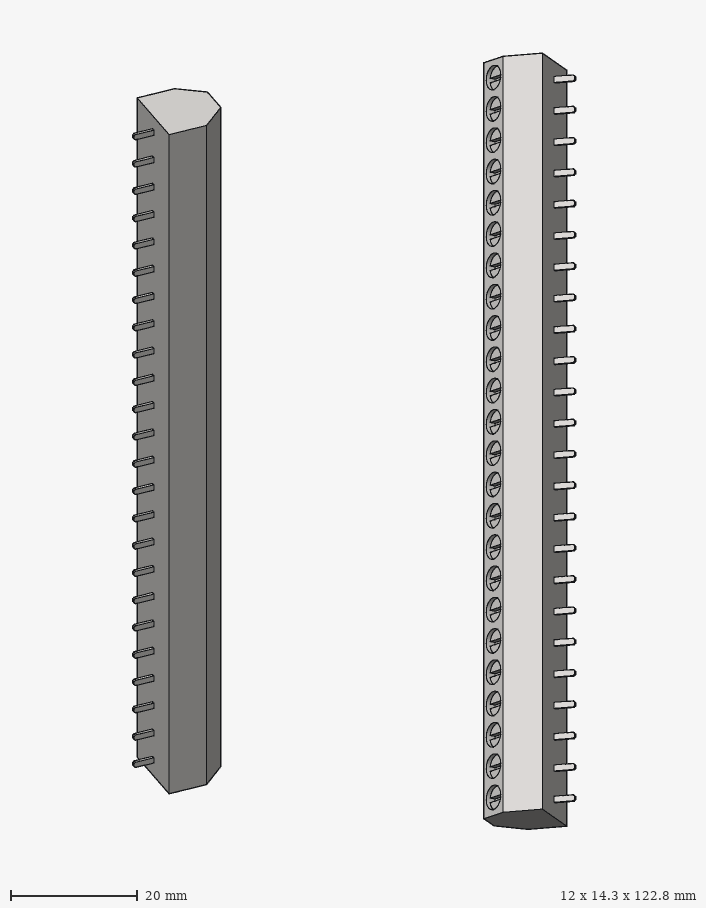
import cadquery as cq

length = 122.8
width = 12.0
body_depth = 10.8
slope_depth = 4.3
screw_slope_width = 3.1
wire_slope_width = 3.9

pole_count = 24
end_margin = 3.0
pitch = (length - 2 * end_margin) / (pole_count - 1)

pin_length = 3.5
pin_thickness = 0.5
pin_height = 1.0
pin_tip_chamfer = 0.2

screw_diameter = 3.9
screw_recess = 0.7
slot_width = 0.7
slot_depth = 1.0

half_width = width / 2
shoulder = body_depth - slope_depth
slope_middle_x = -half_width + screw_slope_width / 2
slope_middle_y = body_depth - slope_depth / 2
slope_normal = (-slope_depth, screw_slope_width, 0)


def make_housing():
    """Six-sided profile extruded along Z."""
    profile = [
        (-half_width, 0),
        (half_width, 0),
        (half_width, shoulder),
        (half_width - wire_slope_width, body_depth),
        (-half_width + screw_slope_width, body_depth),
        (-half_width, shoulder),
    ]
    return cq.Workplane("XY").polyline(profile).close().extrude(length)


def make_pin(z):
    """Flat pin with a bevelled tip, its back end flush with the housing base."""
    pin = cq.Workplane("XY").box(pin_thickness, pin_length, pin_height)
    pin = pin.faces("<Y").edges("|X").chamfer(pin_tip_chamfer)
    return pin.translate((0, -pin_length / 2, z))


def make_screw_cutter(z):
    """Round recess normal to the slope, with a driver slot across its floor."""
    slope = cq.Plane(origin=(slope_middle_x, slope_middle_y, z), xDir=(0, 0, 1), normal=slope_normal)
    recess = cq.Workplane(slope).circle(screw_diameter / 2).extrude(-screw_recess)
    slot_floor = -(screw_recess + slot_depth)
    slot = cq.Workplane(slope).rect(slot_width, screw_diameter).extrude(slot_floor)
    screw = cq.Workplane(slope).circle(screw_diameter / 2).extrude(slot_floor)
    return recess.union(slot.intersect(screw))


result = make_housing()
for pole in range(pole_count):
    pole_z = end_margin + pole * pitch
    result = result.cut(make_screw_cutter(pole_z))
    result = result.union(make_pin(pole_z))